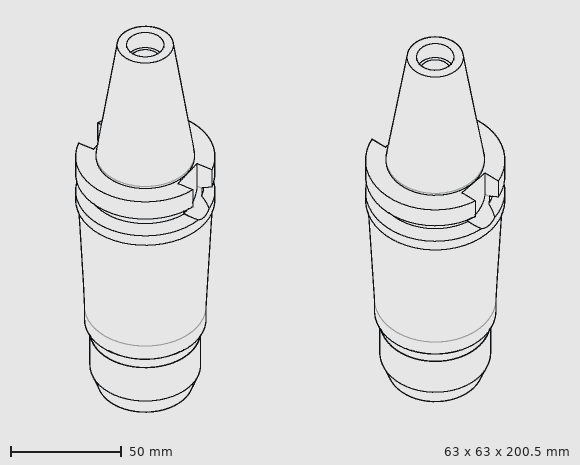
import cadquery as cq

height = 200.5
gauge_z = 135.0
shank_base_radius = 22.2
taper_ratio = 7 / 24
shank_tip_radius = shank_base_radius - (height - gauge_z) * taper_ratio / 2

flange_radius = 31.5
flange_top_z = 133.9
flange_bottom_z = 108.0
groove_radius = 26.5
groove_top_z = 123.6
groove_floor_top_z = 120.6
groove_floor_bottom_z = 116.6
groove_bottom_z = 113.6

body_top_radius = 30.5
collar_radius = 27.5
collar_top_z = 44.5
collar_bottom_z = 36.7

nose_radius = 25.0
neck_radius = 24.8
neck_top_z = 34.3
nose_top_z = 29.5
nose_chamfer_z = 9.6
nose_tip_radius = 21.6

slot_width = 16.2
slot_floor_offset = 22.5
slot_bottom_z = 112.2

bore_radius = 7.0
entry_radius = 8.5
entry_depth = 9.0


def make_holder():
    """Revolve the half-outline of the holder about Z."""
    outline = [
        (0, 0),
        (nose_tip_radius, 0),
        (nose_radius, nose_chamfer_z),
        (nose_radius, nose_top_z),
        (neck_radius, nose_top_z),
        (neck_radius, neck_top_z),
        (collar_radius, collar_bottom_z),
        (collar_radius, collar_top_z),
        (body_top_radius, flange_bottom_z),
        (flange_radius, flange_bottom_z),
        (flange_radius, groove_bottom_z),
        (groove_radius, groove_floor_bottom_z),
        (groove_radius, groove_floor_top_z),
        (flange_radius, groove_top_z),
        (flange_radius, flange_top_z),
        (shank_base_radius, flange_top_z),
        (shank_base_radius, gauge_z),
        (shank_tip_radius, height),
        (0, height),
    ]
    return cq.Workplane("XZ").polyline(outline).close().revolve(360, (0, 0), (0, 1))


def make_drive_slot():
    """Round-bottomed cutter for the drive slot on the +X side."""
    half_width = slot_width / 2
    arc_z = slot_bottom_z + half_width
    return (
        cq.Workplane("YZ", origin=(slot_floor_offset, 0, 0))
        .moveTo(-half_width, flange_top_z)
        .lineTo(-half_width, arc_z)
        .threePointArc((0, slot_bottom_z), (half_width, arc_z))
        .lineTo(half_width, flange_top_z)
        .close()
        .extrude(flange_radius)
    )


def make_bore():
    """Through bore with a wider entry at the shank tip."""
    through = cq.Workplane("XY").circle(bore_radius).extrude(height)
    entry = (
        cq.Workplane("XY", origin=(0, 0, height - entry_depth))
        .circle(entry_radius)
        .extrude(entry_depth)
    )
    return through.union(entry)


result = make_holder().cut(make_bore())
for slot_angle in (0, 180):
    slot = make_drive_slot().rotate((0, 0, 0), (0, 0, 1), slot_angle)
    result = result.cut(slot)